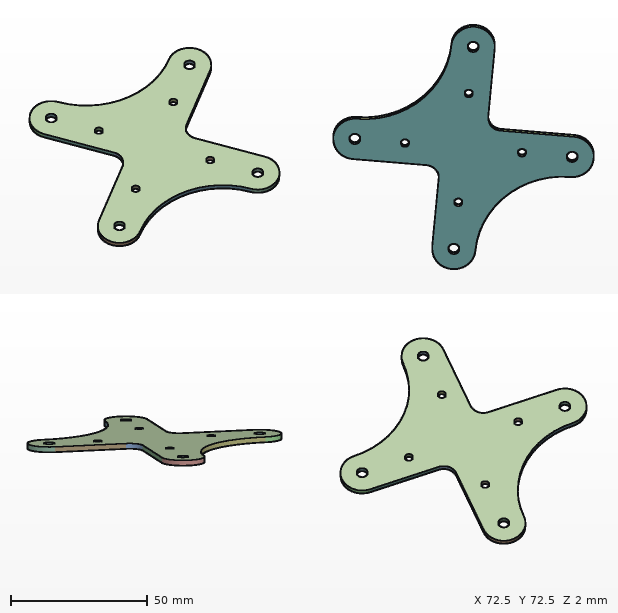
import cadquery as cq
import math

overall_size = 72.5
thickness = 2.0
arm_end_radius = 8.0
arm_hole_diameter = 4.0
mount_hole_diameter = 3.0
mount_hole_spacing = 30.45
notch_radius = 5.0

arm_hole_offset = overall_size / 2 - arm_end_radius
diagonal_part = math.sqrt(0.5)
edge_shift = arm_end_radius * diagonal_part
tangent_near = arm_hole_offset - edge_shift
tangent_far = arm_hole_offset + edge_shift

edge_crossing = arm_end_radius / diagonal_part
notch_centre = edge_crossing + notch_radius / diagonal_part
notch_half_width = notch_radius * diagonal_part
notch_end = notch_centre - notch_half_width
notch_bottom = notch_centre - notch_radius

waist_radius = tangent_near / diagonal_part
waist = edge_crossing + waist_radius / diagonal_part - waist_radius


def arm_end(outline, x_sign, y_sign, end):
    """Add the round end of one arm, finishing at the given point."""
    return outline.threePointArc((x_sign * tangent_far, y_sign * tangent_far), end)


def make_plate():
    """Build the X-shaped plate from its outline, running clockwise from the top notch."""
    outline = cq.Workplane("XY").moveTo(-notch_half_width, notch_end)
    outline = outline.threePointArc((0, notch_bottom), (notch_half_width, notch_end))
    outline = outline.lineTo(tangent_near, tangent_far)
    outline = arm_end(outline, 1, 1, (tangent_far, tangent_near))
    outline = outline.threePointArc((waist, 0), (tangent_far, -tangent_near))
    outline = arm_end(outline, 1, -1, (tangent_near, -tangent_far))
    outline = outline.lineTo(notch_half_width, -notch_end)
    outline = outline.threePointArc((0, -notch_bottom), (-notch_half_width, -notch_end))
    outline = outline.lineTo(-tangent_near, -tangent_far)
    outline = arm_end(outline, -1, -1, (-tangent_far, -tangent_near))
    outline = outline.threePointArc((-waist, 0), (-tangent_far, tangent_near))
    outline = arm_end(outline, -1, 1, (-tangent_near, tangent_far))
    return outline.close().extrude(thickness)


def drill_square(plate, spacing, diameter):
    """Drill a through hole at each corner of a centred square."""
    top_face = plate.faces(">Z").workplane(origin=(0, 0, thickness))
    square = top_face.rect(spacing, spacing, forConstruction=True)
    return square.vertices().hole(diameter)


plate = make_plate()
plate = drill_square(plate, 2 * arm_hole_offset, arm_hole_diameter)
result = drill_square(plate, mount_hole_spacing, mount_hole_diameter)